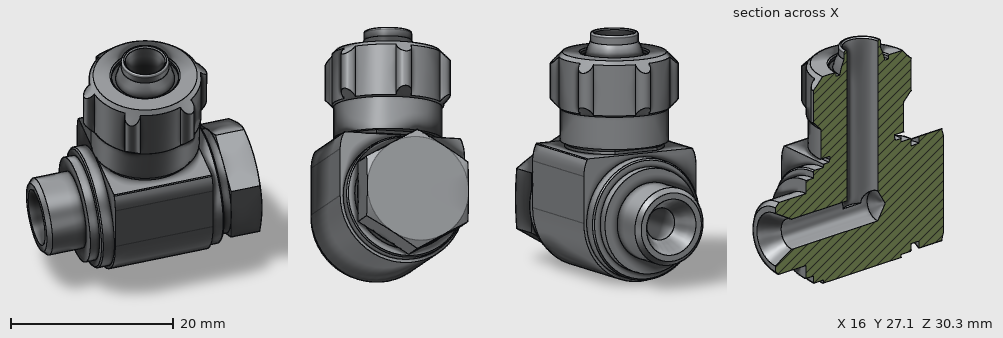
import cadquery as cq
import math


BODY_WIDTH = 16.0
BODY_LENGTH = 12.6
BODY_TOP = 8.03
SHOULDER_Z = 5.88
TOP_FACE_WIDTH = 14.85
SHOULDER_BEVEL = 0.12

RING_D = 15.2
RING_END = 7.9
RING_CHAMFER = 0.18
WASHER_D = 13.2
WASHER_END = 9.1
THREAD_D = 9.73
THREAD_END = 14.0
THREAD_CHAMFER = 0.58
HEX_FLATS = 13.03
HEX_END = 13.1
HEX_CHAMFER = 0.3

BORE_D = 4.0
BORE_MOUTH_D = 7.03
BORE_MOUTH_DEPTH = 2.65
BORE_END = 2.45
DRILL_POINT_ANGLE = 118

NECK_D = 12.05
NECK_FLATS = 10.48
NECK_FLARE = 0.15
NECK_FLARE_HEIGHT = 0.33

COLLAR_D = 13.4
COLLAR_BOTTOM = 8.75
GRIP_BOTTOM = 12.8
NUT_TOP = 19.82
GRIP_D = 13.82
RIB_COUNT = 6
RIB_RADIUS = 0.97
RIB_TIP_RADIUS = 7.9
NUT_TOP_FACE_RADIUS = 6.42
NUT_HOLE_D = 8.3
NUT_HOLE_CHAMFER = 0.18
NUT_HOLE_DEPTH = 0.55

NIPPLE_BASE_D = 7.3
NIPPLE_TIP_D = 5.9
NIPPLE_BORE_D = 4.9
NIPPLE_TOP = 22.3
NIPPLE_LAND_BOTTOM = 21.18
NIPPLE_ROUND = 0.27
MOUTH_CHAMFER = 0.18
NIPPLE_BULGE = (3.25, 20.63)
STEM_BORE_BOTTOM = 0.0


def cylinder_y(diameter, start, end):
    """Cylinder on the Y axis between two Y positions."""
    return cq.Workplane("XZ", origin=(0, start, 0)).circle(diameter / 2).extrude(start - end)


def cylinder_z(diameter, bottom, top):
    """Cylinder on the Z axis between two heights."""
    return cq.Workplane("XY", origin=(0, 0, bottom)).circle(diameter / 2).extrude(top - bottom)


def make_body():
    half = BODY_WIDTH / 2
    half_top = TOP_FACE_WIDTH / 2
    bevel_x = half_top + SHOULDER_BEVEL
    bevel_z = BODY_TOP - SHOULDER_BEVEL
    inset = half - bevel_x
    rise = bevel_z - SHOULDER_Z
    radius = (inset**2 + rise**2) / (2 * inset)
    return (
        cq.Workplane("XZ")
        .moveTo(-half, 0)
        .threePointArc((0, -half), (half, 0))
        .lineTo(half, SHOULDER_Z)
        .radiusArc((bevel_x, bevel_z), -radius)
        .lineTo(half_top, BODY_TOP)
        .lineTo(-half_top, BODY_TOP)
        .lineTo(-bevel_x, bevel_z)
        .radiusArc((-half, SHOULDER_Z), -radius)
        .close()
        .extrude(BODY_LENGTH / 2, both=True)
    )


def make_hex_head():
    corner_d = HEX_FLATS / math.cos(math.radians(30))
    head = (
        cq.Workplane("XZ", origin=(0, WASHER_END, 0))
        .polygon(6, corner_d)
        .extrude(WASHER_END - HEX_END)
        .rotate((0, 0, 0), (0, 1, 0), 30)
    )
    envelope = (
        cq.Workplane("XY")
        .moveTo(0, WASHER_END)
        .lineTo(corner_d / 2, WASHER_END)
        .lineTo(corner_d / 2, HEX_END - HEX_CHAMFER)
        .lineTo(HEX_FLATS / 2, HEX_END)
        .lineTo(0, HEX_END)
        .close()
        .revolve(360, (0, 0, 0), (0, 1, 0))
    )
    return head.intersect(envelope)


def make_bolt():
    rings = cylinder_y(RING_D, -RING_END, RING_END).faces("<Y or >Y").chamfer(RING_CHAMFER)
    washers = cylinder_y(WASHER_D, -WASHER_END, WASHER_END)
    thread = cylinder_y(THREAD_D, -THREAD_END, 0).faces("<Y").chamfer(THREAD_CHAMFER)
    return rings.union(washers).union(thread).union(make_hex_head())


def make_bolt_bore():
    """Blind bore from the thread end: conical mouth, straight bore, drill point."""
    bore_r = BORE_D / 2
    point_depth = bore_r / math.tan(math.radians(DRILL_POINT_ANGLE / 2))
    return (
        cq.Workplane("YZ")
        .moveTo(-THREAD_END, 0)
        .lineTo(-THREAD_END, BORE_MOUTH_D / 2)
        .lineTo(-THREAD_END + BORE_MOUTH_DEPTH, bore_r)
        .lineTo(BORE_END, bore_r)
        .lineTo(BORE_END + point_depth, 0)
        .close()
        .revolve(360, (0, 0, 0), (1, 0, 0))
    )


def make_neck():
    """Round neck with two flats facing -Y and +Y, flared where it meets the body."""
    radius = NECK_D / 2
    flare_radius = radius + NECK_FLARE
    flare_top = BODY_TOP + NECK_FLARE_HEIGHT
    turned = (
        cq.Workplane("XZ")
        .moveTo(0, BODY_TOP)
        .lineTo(flare_radius, BODY_TOP)
        .lineTo(radius, flare_top)
        .lineTo(radius, COLLAR_BOTTOM)
        .lineTo(0, COLLAR_BOTTOM)
        .close()
        .revolve(360, (0, 0, 0), (0, 1, 0))
    )
    flat = NECK_FLATS / 2
    flare_flat = flat + NECK_FLARE
    slab = (
        cq.Workplane("YZ")
        .polyline([
            (-flare_flat, BODY_TOP),
            (flare_flat, BODY_TOP),
            (flat, flare_top),
            (flat, COLLAR_BOTTOM),
            (-flat, COLLAR_BOTTOM),
            (-flat, flare_top),
        ])
        .close()
        .extrude(flare_radius, both=True)
    )
    return turned.intersect(slab)


def make_nut():
    grip = cylinder_z(GRIP_D, GRIP_BOTTOM, NUT_TOP)
    ribs = (
        cq.Workplane("XY", origin=(0, 0, GRIP_BOTTOM))
        .polarArray(RIB_TIP_RADIUS - RIB_RADIUS, 90, 360, RIB_COUNT)
        .circle(RIB_RADIUS)
        .extrude(NUT_TOP - GRIP_BOTTOM)
    )
    collar_r = COLLAR_D / 2
    envelope = (
        cq.Workplane("XZ")
        .moveTo(0, GRIP_BOTTOM)
        .lineTo(collar_r, GRIP_BOTTOM)
        .lineTo(RIB_TIP_RADIUS, GRIP_BOTTOM + RIB_TIP_RADIUS - collar_r)
        .lineTo(RIB_TIP_RADIUS, NUT_TOP - RIB_TIP_RADIUS + NUT_TOP_FACE_RADIUS)
        .lineTo(NUT_TOP_FACE_RADIUS, NUT_TOP)
        .lineTo(0, NUT_TOP)
        .close()
        .revolve(360, (0, 0, 0), (0, 1, 0))
    )
    hole = cylinder_z(NUT_HOLE_D, NUT_TOP - NUT_HOLE_DEPTH, NUT_TOP)
    collar = cylinder_z(COLLAR_D, COLLAR_BOTTOM, GRIP_BOTTOM)
    nut = grip.union(ribs).intersect(envelope).cut(hole).union(collar)
    hole_rim = cq.selectors.RadiusNthSelector(0)
    return nut.faces(">Z").edges("%CIRCLE").edges(hole_rim).chamfer(NUT_HOLE_CHAMFER)


def make_nipple():
    base_r = NIPPLE_BASE_D / 2
    tip_r = NIPPLE_TIP_D / 2
    base_z = NUT_TOP - NUT_HOLE_DEPTH
    nipple = (
        cq.Workplane("XZ")
        .moveTo(0, base_z)
        .lineTo(base_r, base_z)
        .threePointArc(NIPPLE_BULGE, (tip_r, NIPPLE_LAND_BOTTOM))
        .lineTo(tip_r, NIPPLE_TOP)
        .lineTo(0, NIPPLE_TOP)
        .close()
        .revolve(360, (0, 0, 0), (0, 1, 0))
    )
    return nipple.faces(">Z").edges().fillet(NIPPLE_ROUND)


def make_stem_bore():
    """Bore down the stem to the bolt bore, with a small bevel at the mouth."""
    bore = cylinder_z(NIPPLE_BORE_D, STEM_BORE_BOTTOM, NIPPLE_TOP)
    mouth = (
        cq.Workplane("XY", origin=(0, 0, NIPPLE_TOP))
        .circle(NIPPLE_BORE_D / 2 + MOUTH_CHAMFER)
        .extrude(-MOUTH_CHAMFER, taper=45)
    )
    return bore.union(mouth)


result = (
    make_body()
    .union(make_bolt())
    .union(make_neck())
    .union(make_nut())
    .union(make_nipple())
    .cut(make_bolt_bore())
    .cut(make_stem_bore())
)